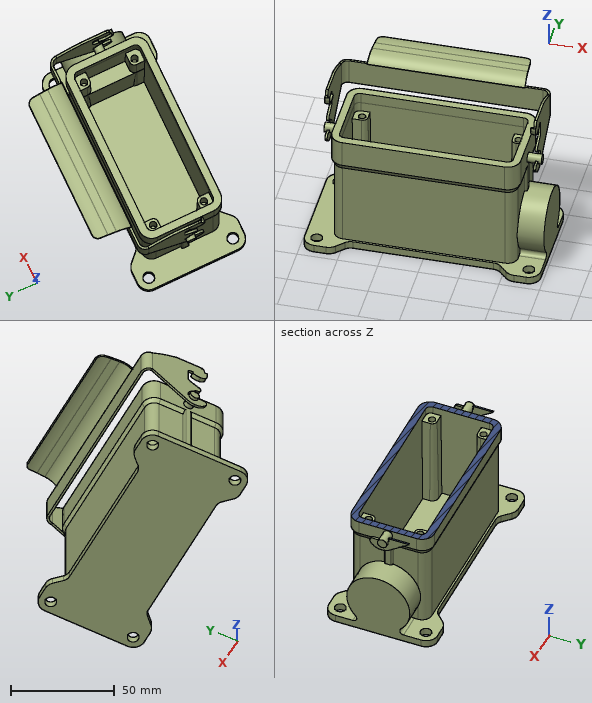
import cadquery as cq
import math

OVERLAP = 1.0

FLANGE_LENGTH = 117.0
FLANGE_WIDTH = 57.0
FLANGE_THICKNESS = 4.0
FLANGE_CORNER_RADIUS = 6.0
FLANGE_FLARE_RADIUS = 5.0
EAR_FLAT_END_X = 46.5
WAIST_HALF_WIDTH = 21.4
SCREW_HOLE_DIAMETER = 5.6
SCREW_HOLE_X = 52.5
SCREW_HOLE_Y = 22.4

COLLAR_LENGTH = 93.5
COLLAR_WIDTH = 43.2
COLLAR_CORNER_RADIUS = 6.5
COLLAR_SETBACK = 1.3
COLLAR_SLOPE_BOTTOM_Z = 47.5
COLLAR_BOTTOM_Z = 50.1
HOUSING_TOP_Z = 64.0
BODY_LENGTH = COLLAR_LENGTH - 2 * COLLAR_SETBACK
BODY_WIDTH = COLLAR_WIDTH - 2 * COLLAR_SETBACK
BODY_CORNER_RADIUS = COLLAR_CORNER_RADIUS - COLLAR_SETBACK

OPENING_LENGTH = 86.0
OPENING_WIDTH = 35.2
OPENING_CORNER_RADIUS = 2.8
DRAFT_START_Z = 58.4
DRAFT_ANGLE = 0.9
CAVITY_FLOOR_Z = FLANGE_THICKNESS

POST_TOP_Z = 53.4
POST_INNER_X = 35.7
POST_INNER_Y = 10.6
POST_CORNER_RADIUS = 2.5
POST_HOLE_DIAMETER = 3.5
POST_HOLE_DEPTH = 12.0
POST_HOLE_X = 38.7
POST_HOLE_Y = 13.5

BOSS_RADIUS = 16.5
BOSS_CENTER_Z = 18.9
BOSS_END_X = FLANGE_LENGTH / 2
BOSS_BLOCK_INNER_X = 35.4
BOSS_FOOT_RADIUS = 2.0

RIB_HALF_WIDTH = 1.9
RIB_FOOT_RADIUS = 0.6
RIB_EDGE_RADIUS = 0.6

SHEET = 1.2
BAIL_HALF_LENGTH = 52.2
BAIL_BACK_Y = 26.4
BAIL_CORNER_RADIUS = 4.2
BAIL_FRONT_Y = -8.0
BAIL_BACK_BOTTOM_Z = 63.5
BAIL_BACK_TOP_Z = 76.7
BAIL_TOP_Z = 81.5
PIVOT_Z = 54.6
PIVOT_RADIUS = 2.45
PIVOT_HALF_LENGTH = 53.8
HOOK_TIP_Y = -7.6
HOOK_TIP_TOP_Z = 78.7
HOOK_CENTER_Y = -3.9
HOOK_CENTER_Z = 76.8
HOOK_RADIUS = -HOOK_TIP_Y + HOOK_CENTER_Y
HOOK_BARB_Y = 0.1
HOOK_BARB_Z = 75.2
THROAT_Y = 2.85
LIP_THICKNESS = 0.9

GRIP_TOP_Z = 80.3
GRIP_FLAT_START_Y = 33.0
GRIP_FLAT_END_Y = 37.4
GRIP_TIP_Y = 44.4
GRIP_ROOT_RADIUS = 10.4
GRIP_TIP_RADIUS = 22.8
GRIP_TIP_HALF_LENGTH = 37.8
GRIP_ROOT_HALF_LENGTH = 39.1
GRIP_CORNER_RADIUS = 3.5


def rounded_block(length, width, radius, bottom_z, top_z):
    block = cq.Workplane("XY").workplane(offset=bottom_z).rect(length, width).extrude(top_z - bottom_z)
    return block.edges("|Z").fillet(radius)


def rounded_outline(length, width, radius):
    return cq.Sketch().rect(length, width).vertices().fillet(radius)


def make_flange():
    half_length = FLANGE_LENGTH / 2
    half_width = FLANGE_WIDTH / 2
    radius = FLANGE_CORNER_RADIUS
    flare = FLANGE_FLARE_RADIUS
    diagonal = math.sqrt(0.5)
    steep = math.sin(math.pi / 8)
    shallow = math.cos(math.pi / 8)

    slope_start = (EAR_FLAT_END_X - radius * diagonal, half_width - radius * (1 - diagonal))
    turn_middle = (EAR_FLAT_END_X - radius * steep, half_width - radius * (1 - shallow))
    slope_end_y = WAIST_HALF_WIDTH + flare * (1 - diagonal)
    slope_end = (slope_start[0] - (slope_start[1] - slope_end_y), slope_end_y)
    waist_x = slope_end[0] - flare * diagonal
    flare_middle = (waist_x + flare * steep, WAIST_HALF_WIDTH + flare * (1 - shallow))
    corner_middle = (half_length - radius * (1 - diagonal), half_width - radius * (1 - diagonal))

    quarter = (
        cq.Workplane("XY")
        .lineTo(half_length, 0)
        .lineTo(half_length, half_width - radius)
        .threePointArc(corner_middle, (half_length - radius, half_width))
        .lineTo(EAR_FLAT_END_X, half_width)
        .threePointArc(turn_middle, slope_start)
        .lineTo(*slope_end)
        .threePointArc(flare_middle, (waist_x, WAIST_HALF_WIDTH))
        .lineTo(0, WAIST_HALF_WIDTH)
        .close()
        .extrude(FLANGE_THICKNESS)
    )
    half = quarter.union(quarter.mirror("YZ"))
    flange = half.union(half.mirror("XZ"))
    holes = (
        cq.Workplane("XY")
        .rect(2 * SCREW_HOLE_X, 2 * SCREW_HOLE_Y, forConstruction=True)
        .vertices()
        .circle(SCREW_HOLE_DIAMETER / 2)
        .extrude(FLANGE_THICKNESS)
    )
    return flange.cut(holes)


def make_shell():
    body = rounded_block(BODY_LENGTH, BODY_WIDTH, BODY_CORNER_RADIUS, 0, COLLAR_BOTTOM_Z)
    collar = rounded_block(
        COLLAR_LENGTH, COLLAR_WIDTH, COLLAR_CORNER_RADIUS, COLLAR_BOTTOM_Z, HOUSING_TOP_Z
    )
    slope = (
        cq.Workplane("XY")
        .workplane(offset=COLLAR_SLOPE_BOTTOM_Z)
        .placeSketch(
            rounded_outline(BODY_LENGTH, BODY_WIDTH, BODY_CORNER_RADIUS),
            rounded_outline(COLLAR_LENGTH, COLLAR_WIDTH, COLLAR_CORNER_RADIUS).moved(
                cq.Location(cq.Vector(0, 0, COLLAR_BOTTOM_Z - COLLAR_SLOPE_BOTTOM_Z))
            ),
        )
        .loft()
    )
    return body.union(slope).union(collar)


def make_boss():
    boss = (
        cq.Workplane("YZ")
        .workplane(offset=BOSS_BLOCK_INNER_X)
        .center(0, BOSS_CENTER_Z)
        .circle(BOSS_RADIUS)
        .extrude(BOSS_END_X - BOSS_BLOCK_INNER_X)
    )

    fillet_center_z = FLANGE_THICKNESS + BOSS_FOOT_RADIUS
    reach = BOSS_RADIUS + BOSS_FOOT_RADIUS
    fillet_center_y = math.sqrt(reach**2 - (BOSS_CENTER_Z - fillet_center_z) ** 2)
    tangent_y = fillet_center_y * BOSS_RADIUS / reach
    tangent_z = BOSS_CENTER_Z - (BOSS_CENTER_Z - fillet_center_z) * BOSS_RADIUS / reach
    web = (
        cq.Workplane("YZ")
        .workplane(offset=BODY_LENGTH / 2)
        .moveTo(-fillet_center_y, FLANGE_THICKNESS)
        .lineTo(fillet_center_y, FLANGE_THICKNESS)
        .lineTo(tangent_y, tangent_z)
        .lineTo(-tangent_y, tangent_z)
        .close()
        .extrude(BOSS_END_X - BODY_LENGTH / 2)
    )
    hollows = (
        cq.Workplane("YZ")
        .workplane(offset=BODY_LENGTH / 2)
        .pushPoints([(-fillet_center_y, fillet_center_z), (fillet_center_y, fillet_center_z)])
        .circle(BOSS_FOOT_RADIUS)
        .extrude(BOSS_END_X - BODY_LENGTH / 2)
    )
    return boss.union(web.cut(hollows))


def make_ribs():
    base_x = BODY_LENGTH / 2
    face_x = COLLAR_LENGTH / 2
    foot_y = RIB_HALF_WIDTH + RIB_FOOT_RADIUS
    flat_y = RIB_HALF_WIDTH - RIB_EDGE_RADIUS
    foot_x = base_x + RIB_FOOT_RADIUS
    edge_x = face_x - RIB_EDGE_RADIUS
    rib = (
        cq.Workplane("XY")
        .moveTo(base_x - OVERLAP, -foot_y)
        .lineTo(base_x, -foot_y)
        .radiusArc((foot_x, -RIB_HALF_WIDTH), RIB_FOOT_RADIUS)
        .lineTo(edge_x, -RIB_HALF_WIDTH)
        .radiusArc((face_x, -flat_y), -RIB_EDGE_RADIUS)
        .lineTo(face_x, flat_y)
        .radiusArc((edge_x, RIB_HALF_WIDTH), -RIB_EDGE_RADIUS)
        .lineTo(foot_x, RIB_HALF_WIDTH)
        .radiusArc((base_x, foot_y), RIB_FOOT_RADIUS)
        .lineTo(base_x - OVERLAP, foot_y)
        .close()
        .extrude(COLLAR_BOTTOM_Z)
    )
    return rib.union(rib.mirror("YZ"))


def make_cavity():
    straight = rounded_block(
        OPENING_LENGTH, OPENING_WIDTH, OPENING_CORNER_RADIUS, DRAFT_START_Z, HOUSING_TOP_Z
    )
    drafted = (
        cq.Workplane("XY")
        .workplane(offset=DRAFT_START_Z)
        .placeSketch(rounded_outline(OPENING_LENGTH, OPENING_WIDTH, OPENING_CORNER_RADIUS))
        .extrude(CAVITY_FLOOR_Z - DRAFT_START_Z, taper=DRAFT_ANGLE)
    )
    return straight.union(drafted)


def make_posts():
    """Four posts that fill the cavity corners and widen toward the floor."""
    length = BODY_LENGTH / 2 - POST_INNER_X
    width = BODY_WIDTH / 2 - POST_INNER_Y
    post = (
        cq.Workplane("XY")
        .workplane(offset=POST_TOP_Z)
        .center(POST_INNER_X + length / 2, POST_INNER_Y + width / 2)
        .placeSketch(rounded_outline(length, width, POST_CORNER_RADIUS))
        .extrude(CAVITY_FLOOR_Z - POST_TOP_Z, taper=-DRAFT_ANGLE)
    )
    hole = (
        cq.Workplane("XY")
        .workplane(offset=POST_TOP_Z)
        .center(POST_HOLE_X, POST_HOLE_Y)
        .circle(POST_HOLE_DIAMETER / 2)
        .extrude(-POST_HOLE_DEPTH)
    )
    post = post.cut(hole)
    pair = post.union(post.mirror("YZ"))
    return pair.union(pair.mirror("XZ"))


def make_boss_block():
    """Solid block closing the cavity behind the boss, level with the top of the boss."""
    top_z = BOSS_CENTER_Z + BOSS_RADIUS
    length = BODY_LENGTH / 2 - BOSS_BLOCK_INNER_X
    block = cq.Workplane("XY").box(length, BODY_WIDTH, top_z - CAVITY_FLOOR_Z, centered=(False, True, False))
    return block.translate((BOSS_BLOCK_INNER_X, 0, CAVITY_FLOOR_Z))


def bail_side_profile():
    """Side outline of the bail: back strap, top hook, lower cam and pivot fork."""
    diagonal = math.sqrt(0.5)
    bend_y = BAIL_BACK_Y - BAIL_CORNER_RADIUS
    hook_side = (HOOK_CENTER_Y - HOOK_RADIUS * diagonal, HOOK_CENTER_Z - HOOK_RADIUS * diagonal)
    return (
        cq.Workplane("YZ")
        .workplane(offset=-BAIL_HALF_LENGTH)
        .moveTo(BAIL_BACK_Y, BAIL_BACK_BOTTOM_Z)
        .lineTo(BAIL_BACK_Y, BAIL_BACK_TOP_Z)
        .lineTo(bend_y, BAIL_BACK_TOP_Z)
        .threePointArc((15.9, 79.5), (9.1, BAIL_TOP_Z))
        .lineTo(-4.6, BAIL_TOP_Z)
        .threePointArc((-5.6, 80.7), (-6.0, HOOK_TIP_TOP_Z))
        .lineTo(HOOK_TIP_Y, HOOK_TIP_TOP_Z)
        .lineTo(HOOK_TIP_Y, HOOK_CENTER_Z)
        .threePointArc(hook_side, (HOOK_CENTER_Y, HOOK_CENTER_Z - HOOK_RADIUS))
        .threePointArc((-1.65, 73.3), (0.3, 74.2))
        .lineTo(HOOK_BARB_Y, HOOK_BARB_Z)
        .lineTo(1.8, HOOK_BARB_Z)
        .threePointArc((2.55, 74.9), (THROAT_Y, 74.2))
        .lineTo(THROAT_Y, 68.4)
        .threePointArc((2.5, 67.3), (1.6, 66.6))
        .lineTo(-2.7, 64.3)
        .threePointArc((-4.0, 62.7), (-2.7, 61.1))
        .lineTo(-1.15, 60.7)
        .lineTo(0.4, 59.0)
        .threePointArc((2.3, 57.6), (2.8, 55.6))
        .lineTo(0, PIVOT_Z)
        .lineTo(-2.7, 54.9)
        .lineTo(-5.5, 54.9)
        .threePointArc((-6.8, 54.3), (-7.2, 53.0))
        .threePointArc((-4.8, 50.1), (-0.9, 49.0))
        .threePointArc((0.8, 49.1), (2.3, 49.6))
        .lineTo(bend_y, BAIL_BACK_BOTTOM_Z)
        .close()
        .extrude(2 * BAIL_HALF_LENGTH)
    )


def make_hook_lips(profile):
    """Lips that thicken the hooks inward along their round lower edge, up to the tip."""
    diagonal = math.sqrt(0.5)
    inner_radius = HOOK_RADIUS - LIP_THICKNESS
    inner_tip_y = HOOK_CENTER_Y - inner_radius
    inner_side = (HOOK_CENTER_Y - inner_radius * diagonal, HOOK_CENTER_Z - inner_radius * diagonal)
    inner_bottom_z = HOOK_CENTER_Z - inner_radius
    zone_bottom_z = HOOK_CENTER_Z - 2 * HOOK_RADIUS
    lower_edge = (
        cq.Workplane("YZ")
        .workplane(offset=-BAIL_HALF_LENGTH)
        .moveTo(HOOK_TIP_Y, HOOK_TIP_TOP_Z)
        .lineTo(inner_tip_y, HOOK_TIP_TOP_Z)
        .lineTo(inner_tip_y, HOOK_CENTER_Z)
        .threePointArc(inner_side, (HOOK_CENTER_Y, inner_bottom_z))
        .threePointArc((-2.0, 74.3), (HOOK_BARB_Y, HOOK_BARB_Z))
        .lineTo(THROAT_Y / 2, zone_bottom_z)
        .lineTo(HOOK_TIP_Y, zone_bottom_z)
        .close()
        .extrude(2 * BAIL_HALF_LENGTH)
    )
    gap_length = 2 * (BAIL_HALF_LENGTH - 2 * SHEET)
    gap = cq.Workplane("XY").box(gap_length, FLANGE_WIDTH, 2 * BAIL_TOP_Z)
    return profile.intersect(lower_edge).cut(gap)


def make_bail():
    depth = BAIL_BACK_Y - BAIL_FRONT_Y
    middle_y = (BAIL_BACK_Y + BAIL_FRONT_Y) / 2

    def plan(inset):
        length = 2 * (BAIL_HALF_LENGTH - inset)
        plate = cq.Workplane("XY").center(0, middle_y).rect(length, depth - 2 * inset).extrude(BAIL_TOP_Z)
        return plate.edges("|Z and >Y").fillet(BAIL_CORNER_RADIUS - inset)

    profile = bail_side_profile()
    inside = plan(SHEET)
    front_opening = inside.union(inside.translate((0, -2 * SHEET, 0)))
    strap = plan(0).cut(front_opening).intersect(profile)
    return strap.union(make_hook_lips(profile))


def make_pivots():
    pivot = (
        cq.Workplane("YZ")
        .workplane(offset=COLLAR_LENGTH / 2 - OVERLAP)
        .center(0, PIVOT_Z)
        .circle(PIVOT_RADIUS)
        .extrude(PIVOT_HALF_LENGTH - COLLAR_LENGTH / 2 + OVERLAP)
    )
    return pivot.union(pivot.mirror("YZ"))


def make_grip():
    inner_root_radius = GRIP_ROOT_RADIUS - SHEET
    inner_tip_radius = GRIP_TIP_RADIUS - SHEET
    root_center_z = GRIP_TOP_Z - GRIP_ROOT_RADIUS
    tip_center_z = GRIP_TOP_Z - GRIP_TIP_RADIUS
    root_z = BAIL_BACK_TOP_Z - SHEET / 4
    tip_angle = math.asin((GRIP_TIP_Y - GRIP_FLAT_END_Y) / GRIP_TIP_RADIUS)

    def root_point(radius):
        rise = root_z - root_center_z
        return (GRIP_FLAT_START_Y - math.sqrt(radius**2 - rise**2), root_z)

    def tip_point(radius):
        return (GRIP_FLAT_END_Y + radius * math.sin(tip_angle), tip_center_z + radius * math.cos(tip_angle))

    outer_z = GRIP_TOP_Z
    inner_z = GRIP_TOP_Z - SHEET
    sheet = (
        cq.Workplane("YZ")
        .workplane(offset=-GRIP_ROOT_HALF_LENGTH)
        .moveTo(*root_point(GRIP_ROOT_RADIUS))
        .radiusArc((GRIP_FLAT_START_Y, outer_z), GRIP_ROOT_RADIUS)
        .lineTo(GRIP_FLAT_END_Y, outer_z)
        .radiusArc(tip_point(GRIP_TIP_RADIUS), GRIP_TIP_RADIUS)
        .lineTo(*tip_point(inner_tip_radius))
        .radiusArc((GRIP_FLAT_END_Y, inner_z), -inner_tip_radius)
        .lineTo(GRIP_FLAT_START_Y, inner_z)
        .radiusArc(root_point(inner_root_radius), -inner_root_radius)
        .close()
        .extrude(2 * GRIP_ROOT_HALF_LENGTH)
    )
    root_y = root_point(GRIP_ROOT_RADIUS)[0]
    plan = (
        cq.Workplane("XY")
        .polyline([
            (-GRIP_ROOT_HALF_LENGTH, root_y),
            (GRIP_ROOT_HALF_LENGTH, root_y),
            (GRIP_TIP_HALF_LENGTH, GRIP_TIP_Y),
            (-GRIP_TIP_HALF_LENGTH, GRIP_TIP_Y),
        ])
        .close()
        .extrude(GRIP_TOP_Z)
        .edges("|Z and >Y")
        .fillet(GRIP_CORNER_RADIUS)
    )
    return sheet.intersect(plan)


shell = make_flange().union(make_shell()).union(make_ribs())
boss = make_boss()
cavity = make_cavity()
fillings = make_posts().union(make_boss_block())
housing = shell.union(boss).cut(cavity.cut(fillings))
bail = make_bail().union(make_grip())
result = housing.union(make_pivots()).union(bail)